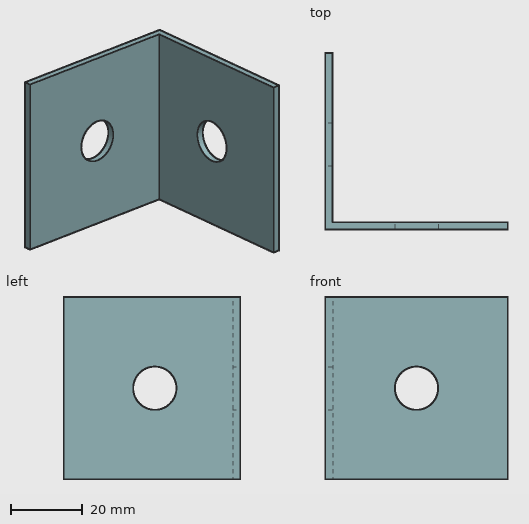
import cadquery as cq

width = 50.8
depth = 49.2
height = 50.8
thickness = 2.1
hole_diameter = 12.0
hole_edge_distance = width / 2

front_plate = cq.Workplane("XY").box(width, thickness, height, centered=False)
side_plate = cq.Workplane("XY").box(thickness, depth, height, centered=False)


def hole_cutter(center, direction):
    """Cylinder running from a plate's outer face through its thickness."""
    return cq.Workplane(
        cq.Solid.makeCylinder(hole_diameter / 2, thickness, cq.Vector(*center), cq.Vector(*direction))
    )


front_hole = hole_cutter((width - hole_edge_distance, 0, height / 2), (0, 1, 0))
side_hole = hole_cutter((0, depth - hole_edge_distance, height / 2), (1, 0, 0))

result = front_plate.union(side_plate).cut(front_hole).cut(side_hole)